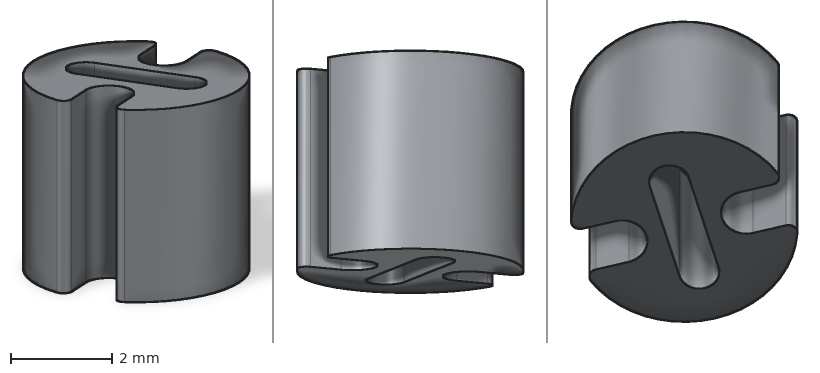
import cadquery as cq

body_diameter = 4.49
body_height = 4.0

notch_width = 1.0
notch_floor_distance = 0.775
lip_radius = 0.18

slot_length = 3.0
slot_width = 0.8


def notch_cutter(side):
    """Round-floored notch opening toward +Y (side = 1) or -Y (side = -1)."""
    notch_radius = notch_width / 2
    floor_center = side * (notch_floor_distance + notch_radius)
    mouth = side * body_diameter
    return (
        cq.Workplane("XY")
        .moveTo(-notch_radius, mouth)
        .lineTo(-notch_radius, floor_center)
        .threePointArc((0, side * notch_floor_distance), (notch_radius, floor_center))
        .lineTo(notch_radius, mouth)
        .close()
        .extrude(body_height)
    )


body = cq.Workplane("XY").circle(body_diameter / 2).extrude(body_height)
for side in (1, -1):
    body = body.cut(notch_cutter(side))

lip_zone_start = notch_floor_distance + notch_width
for side in (1, -1):
    lips = cq.selectors.BoxSelector(
        (-notch_width, side * lip_zone_start, 0),
        (notch_width, side * body_diameter, body_height),
    )
    body = body.edges("|Z").edges(lips).fillet(lip_radius)

slot = cq.Workplane("XY").slot2D(slot_length, slot_width).extrude(body_height)

result = body.cut(slot)